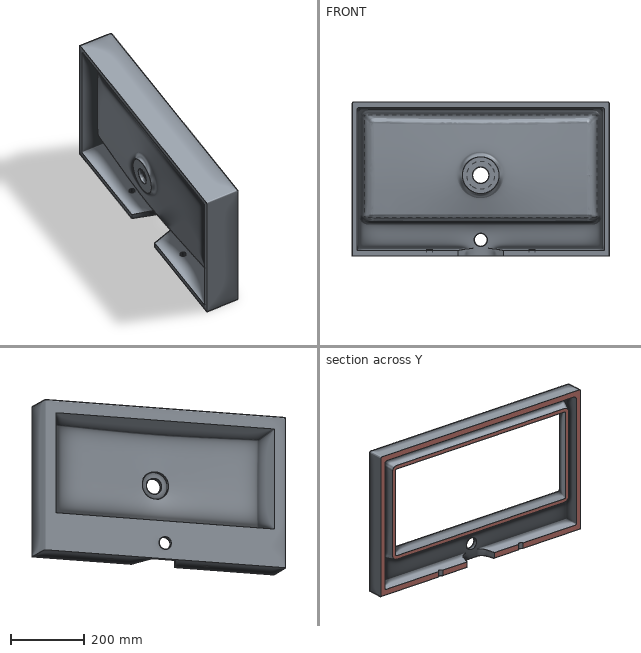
import cadquery as cq
import math


WIDTH = 700.0
HEIGHT = 420.0
DEPTH = 100.0
EDGE_RADIUS = 5.0
RIM_DRAW_IN = 0.5

SIDE_WALL = 13.0
TOP_BOTTOM_WALL = 15.0
WALL_GROWTH = 5.0
DECK_THICKNESS = 12.0
DECK_Y = DEPTH - DECK_THICKNESS
UPPER_CORNER_RADIUS = 8.0
LOWER_CORNER_RADIUS = 3.0
DECK_FILLET = 2.0

BOWL_HALF_WIDTH = 324.0
BOWL_BOTTOM_Z = 94.0
BOWL_TOP_Z = 392.0
SIDE_DRAFT = 21.0
TOP_DRAFT = 18.3
BOTTOM_DRAFT = 3.0
BOWL_WALL = 12.0
BOWL_RADIUS = 16.0
BOWL_BASE_FILLET = 10.0
FLOOR_SLOPE_ANGLE = 3.5

DRAIN_Z = 220.0
DRAIN_HOLE_DIAMETER = 44.0
BOSS_DIAMETER = 100.0
BOSS_ROOT_DIAMETER = 130.0
BOSS_Y = -3.0
BOSS_ROOT_Y = 10.0

TAP_HOLE_DIAMETER = 35.0
TAP_HOLE_Z = 44.0
FIXING_HOLE_DIAMETER = 16.0
FIXING_HOLE_X = 140.0
FIXING_HOLE_Y = 45.0

NOTCH_MOUTH_HALF_WIDTH = 62.5
NOTCH_DECK_HALF_WIDTH = 35.0
NOTCH_RADIUS = 21.0


def plane_at(y):
    """Workplane at the given Y: local x is X, local y is Z, extrusions go toward -Y."""
    return cq.Workplane("XZ", origin=(0, y, 0))


def flat_face(points):
    """Flat face bounded by straight lines through the points."""
    return cq.Face.makeFromWires(cq.Wire.makePolygon(points, close=True))


def ruled_block(y_near, near, y_far, far):
    """Flat-sided block between two rectangles, each (half width, bottom z, top z)."""
    ends = []
    for y, (half_width, bottom, top) in ((y_near, near), (y_far, far)):
        corners = [(-half_width, bottom), (half_width, bottom), (half_width, top), (-half_width, top)]
        ends.append([cq.Vector(x, y, z) for x, z in corners])
    first, last = ends
    faces = [flat_face(first), flat_face(last)]
    for i in range(len(first)):
        faces.append(flat_face([first[i - 1], first[i], last[i], last[i - 1]]))
    return cq.Workplane(obj=cq.Solid.makeSolid(cq.Shell.makeShell(faces)).fix())


def revolve_about_drain(profile):
    """Revolve a closed (radius, y) profile about the drain axis."""
    return profile.revolve(360, (0, 0, 0), (0, 1, 0))


def drain_section():
    """Workplane holding the drain axis: local x is the radius, local y is Y."""
    return cq.Workplane("XY", origin=(0, 0, DRAIN_Z))


def outer_block():
    """Solid outer shape, with every edge rounded except those at the underside and the bottom."""
    wall_foot = (WIDTH / 2, 0, HEIGHT)
    rim = (WIDTH / 2 - RIM_DRAW_IN, 0, HEIGHT - RIM_DRAW_IN)
    block = ruled_block(0, wall_foot, DEPTH, rim)
    block = block.edges("not(|X or |Z)").edges(">Z").fillet(EDGE_RADIUS)
    return block.faces(">Y").edges("not <Z").fillet(EDGE_RADIUS)


def underside_cavity():
    """Drafted hollow from the underside up to the deck, with rounded corners."""
    mouth = (WIDTH / 2 - SIDE_WALL, TOP_BOTTOM_WALL, HEIGHT - TOP_BOTTOM_WALL)
    deep = (mouth[0] - WALL_GROWTH, mouth[1] + WALL_GROWTH, mouth[2] - WALL_GROWTH)
    cavity = ruled_block(0, mouth, DECK_Y, deep)
    corners = cavity.edges("not(|X or |Z)")
    cavity = corners.edges(">Z").fillet(UPPER_CORNER_RADIUS)
    low_zone = cq.selectors.BoxSelector((-WIDTH, 0, 0), (WIDTH, DECK_Y, TOP_BOTTOM_WALL + WALL_GROWTH))
    cavity = cavity.edges(low_zone).edges("not(|X or |Z)").fillet(LOWER_CORNER_RADIUS)
    return cavity.faces(">Y").edges().fillet(DECK_FILLET)


def bowl_section(y, inset):
    """Bowl rectangle at the given Y, pulled in all round by the inset."""
    rise = y - DECK_Y
    return (
        BOWL_HALF_WIDTH + rise * math.tan(math.radians(SIDE_DRAFT)) - inset,
        BOWL_BOTTOM_Z - rise * math.tan(math.radians(BOTTOM_DRAFT)) + inset,
        BOWL_TOP_Z + rise * math.tan(math.radians(TOP_DRAFT)) - inset,
    )


def bowl_form(inset, rim_y, radius):
    """Drafted bowl with a floor that falls as a shallow cone toward the drain."""
    block = ruled_block(0, bowl_section(0, inset), rim_y, bowl_section(rim_y, inset))
    slope = math.tan(math.radians(FLOOR_SLOPE_ANGLE))
    centre_y = BOSS_ROOT_Y + inset - slope * BOSS_ROOT_DIAMETER / 2
    floor_side = revolve_about_drain(
        drain_section().polyline([
            (0, centre_y),
            (WIDTH, centre_y + slope * WIDTH),
            (WIDTH, 2 * DEPTH),
            (0, 2 * DEPTH),
        ]).close()
    )
    form = block.intersect(floor_side)
    rim_edges = form.faces(">Y").edges().vals()
    rounded = [e for e in form.edges().vals() if not any(e.isSame(r) for r in rim_edges)]
    return form.newObject(rounded).fillet(radius)


def flanged_bowl():
    """Outside of the bowl on a wide deck plate, with a rounded foot that runs out into the walls."""
    plate = plane_at(DEPTH).center(0, HEIGHT / 2).rect(2 * WIDTH, 2 * HEIGHT).extrude(DECK_THICKNESS)
    bowl = plate.union(bowl_form(0, DECK_Y, BOWL_RADIUS))
    foot = bowl.faces("|Y").faces("<Y").val().innerWires()[0]
    return bowl.newObject(foot.Edges()).fillet(BOWL_BASE_FILLET)


def drain_boss():
    """Flat boss whose side flares out along an arc tangent to the bowl floor."""
    inner = BOSS_DIAMETER / 2
    outer = BOSS_ROOT_DIAMETER / 2
    run = outer - inner
    height = BOSS_ROOT_Y - BOSS_Y
    flare_radius = (run**2 + height**2) / (2 * height)
    angle = math.asin(run / flare_radius) / 2
    middle = (
        outer - flare_radius * math.sin(angle),
        BOSS_ROOT_Y - flare_radius * (1 - math.cos(angle)),
    )
    core_y = BOSS_ROOT_Y + BOWL_WALL / 2
    return revolve_about_drain(
        drain_section().moveTo(0, BOSS_Y).lineTo(inner, BOSS_Y)
        .threePointArc(middle, (outer, BOSS_ROOT_Y))
        .lineTo(outer, core_y).lineTo(0, core_y).close()
    )


def drain_recess():
    """Round recess in the bowl floor, behind the boss."""
    radius = BOSS_DIAMETER / 2 - BOWL_WALL
    return plane_at(DECK_Y).center(0, DRAIN_Z).circle(radius).extrude(DECK_Y - BOSS_ROOT_Y)


def y_hole(diameter, z):
    """Cutter for a hole along Y right through the part."""
    return plane_at(DEPTH).center(0, z).circle(diameter / 2).extrude(2 * DEPTH, both=True)


def notch():
    """Flared opening through the bottom wall, rounded where it meets the deck."""
    outline = [
        (-NOTCH_MOUTH_HALF_WIDTH, 0),
        (-NOTCH_DECK_HALF_WIDTH, DECK_Y),
        (NOTCH_DECK_HALF_WIDTH, DECK_Y),
        (NOTCH_MOUTH_HALF_WIDTH, 0),
    ]
    height = TOP_BOTTOM_WALL + WALL_GROWTH + DECK_FILLET
    block = cq.Workplane("XY").polyline(outline).close().extrude(height)
    return block.edges("|Z and >Y").fillet(NOTCH_RADIUS)


def fixing_holes():
    """Cutters for the two holes through the bottom wall."""
    height = TOP_BOTTOM_WALL + 2 * WALL_GROWTH
    centres = [(-FIXING_HOLE_X, FIXING_HOLE_Y), (FIXING_HOLE_X, FIXING_HOLE_Y)]
    return cq.Workplane("XY").pushPoints(centres).circle(FIXING_HOLE_DIAMETER / 2).extrude(height)


def underside_space():
    """Hollow left between the outer walls and the outside of the bowl."""
    return underside_cavity().cut(flanged_bowl())


def bowl_interior():
    """Inside of the bowl, open at the rim."""
    return bowl_form(BOWL_WALL, DEPTH, BOWL_RADIUS - BOWL_WALL)


result = outer_block().cut(underside_space()).union(drain_boss())
result = result.cut(bowl_interior())
result = result.cut(drain_recess())
result = result.cut(y_hole(DRAIN_HOLE_DIAMETER, DRAIN_Z))
result = result.cut(y_hole(TAP_HOLE_DIAMETER, TAP_HOLE_Z))
result = result.cut(notch()).cut(fixing_holes())